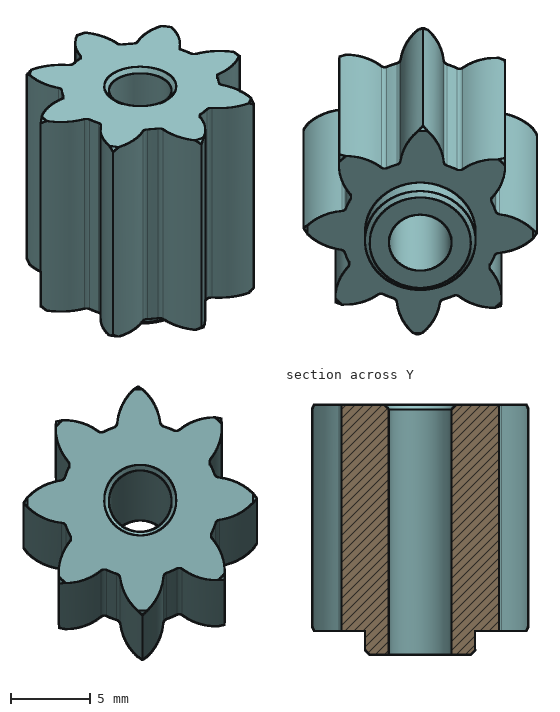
import cadquery as cq
import math

total_height = 15.79
collar_height = 1.5
collar_radius = 3.49
gear_height = total_height - collar_height

tooth_count = 8
tooth_pitch = 360 / tooth_count
tip_radius = 7.37
root_radius = 4.97
root_half_width = 0.55
root_fillet = 0.32
flank_mid_radius = 6.16
flank_mid_half_gap = 1.35
tip_chamfer = 0.25

bore_radius = 1.97
edge_chamfer = 0.3


def gap_point(radius, half_width, gap_angle):
    """Point on a circle, at a sideways offset from the middle line of a tooth gap."""
    angle = math.radians(gap_angle) + math.asin(half_width / radius)
    return (radius * math.cos(angle), radius * math.sin(angle))


def make_teeth():
    """Pointed teeth with bulging flanks, separated by gaps centred on the X and Y axes."""
    tip_half_gap = tip_radius * math.sin(math.radians(tooth_pitch / 2))
    outline = cq.Workplane("XY", origin=(0, 0, collar_height))
    outline = outline.moveTo(*gap_point(tip_radius, -tip_half_gap, 0))
    for index in range(tooth_count):
        angle = index * tooth_pitch
        outline = (
            outline
            .threePointArc(
                gap_point(flank_mid_radius, -flank_mid_half_gap, angle),
                gap_point(root_radius, -root_half_width, angle),
            )
            .threePointArc(
                gap_point(root_radius, 0, angle),
                gap_point(root_radius, root_half_width, angle),
            )
            .threePointArc(
                gap_point(flank_mid_radius, flank_mid_half_gap, angle),
                gap_point(tip_radius, tip_half_gap, angle),
            )
        )
    teeth = outline.close().extrude(gear_height)

    inner_corners = cq.selectors.BoxSelector(
        (-flank_mid_radius, -flank_mid_radius, collar_height),
        (flank_mid_radius, flank_mid_radius, total_height),
    )
    return teeth.edges("|Z").edges(inner_corners).fillet(root_fillet)


def make_tip_envelope():
    """Cylinder with both ends chamfered, which trims the ends of the tooth tips."""
    return (
        cq.Workplane("XY", origin=(0, 0, collar_height))
        .circle(tip_radius)
        .extrude(gear_height)
        .edges()
        .chamfer(tip_chamfer)
    )


def make_collar():
    """Round collar under the teeth, chamfered at its free end."""
    return (
        cq.Workplane("XY")
        .circle(collar_radius)
        .extrude(collar_height)
        .faces("<Z")
        .chamfer(edge_chamfer)
    )


def make_bore():
    """Through bore with a countersunk upper rim."""
    bore = cq.Workplane("XY").circle(bore_radius).extrude(total_height)
    countersink = (
        cq.Workplane("XY", origin=(0, 0, total_height))
        .circle(bore_radius + edge_chamfer)
        .workplane(offset=-edge_chamfer)
        .circle(bore_radius)
        .loft()
    )
    return bore.union(countersink)


gear = make_teeth().intersect(make_tip_envelope())
result = gear.union(make_collar()).cut(make_bore())